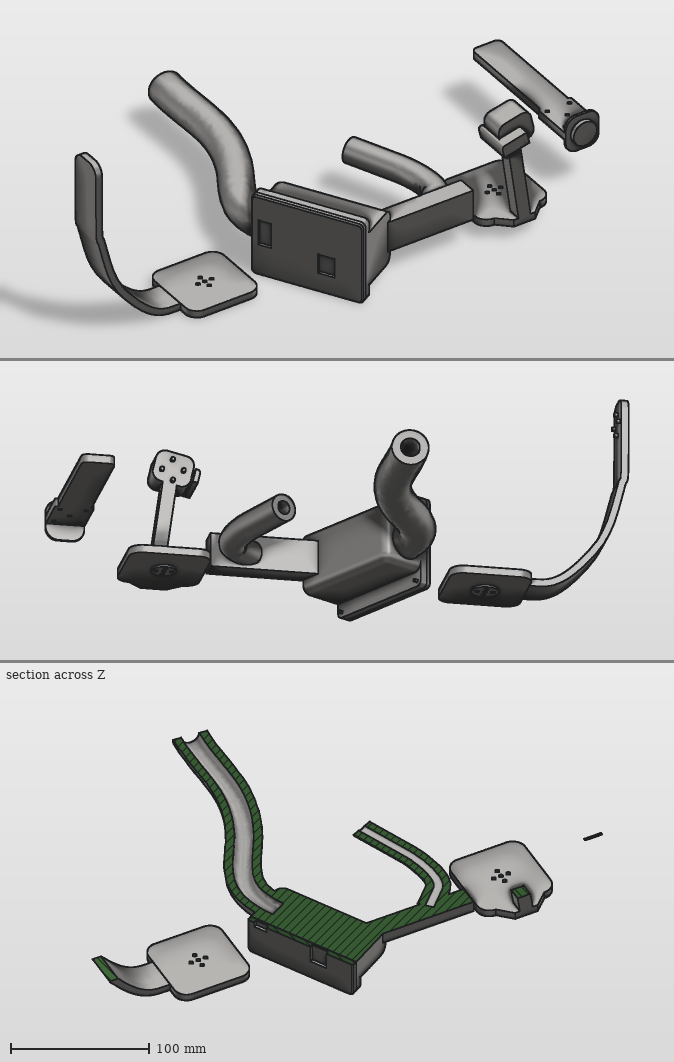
import cadquery as cq
import math

HOLE_DIAMETER = 3.0
PIN_DIAMETER = 3.0
PIN_LENGTH = 2.5
PIN_PITCH_RADIUS = 8.0
PAD_THICKNESS = 6.0
PAD_SIDE = 60.0
PAD_CORNER_RADIUS = 10.0
PAD_HOLE_SPACING = 6.0
PAD_BOSS_HEIGHT = 1.5

BLADE_CENTER_Y = 196.0
BLADE_CENTER_Z = -31.5
BLADE_THICKNESS = 6.5
BLADE_TIP_X = -36.0
BLADE_STEP_X = 54.0
BLADE_END_X = 89.0
BLADE_NARROW_WIDTH = 24.5
BLADE_WIDE_WIDTH = 28.5
BLADE_TIP_RADIUS = 4.5
BLADE_STEP_RADIUS = 2.0
BLADE_HOLE_X = 71.5
BLADE_HOLE_HALF_X = 11.8
BLADE_HOLE_HALF_Y = 9.5
END_PLATE_THICKNESS = 2.0
END_PLATE_HEIGHT = 30.3
END_PLATE_RADIUS = 9.2
BLADE_BOSS_DIAMETER = 20.0
BLADE_BOSS_HEIGHT = 3.8

FOOT_CENTER_X = 84.0
FOOT_CENTER_Y = 124.0
FOOT_TOP_Z = -59.5
FOOT_BOSS_DIAMETER = 18.0
TAB_END_X = 124.0
TAB_ROOT_HALF_WIDTH = 19.8
TAB_END_HALF_WIDTH = 9.2
POST_X = 113.5
POST_SIDE = 10.5
POST_LEAN = 8
HEAD_LENGTH = 19.5
HEAD_CENTER_Y = 112.0
HEAD_CENTER_Z = 23.5
HEAD_TILT = 13
HEAD_FRONT = -14.7
HEAD_BACK = 14.0
HEAD_BOTTOM = -10.5
HEAD_TOP = 14.0
HEAD_RADIUS = 7.0

CLIP_LENGTH = 31.0
CLIP_ARM_WIDTH = 9.2
CLIP_FRONT = -20.0
CLIP_STRIP_BACK = -16.5
CLIP_ARM_BACK = 2.0
CLIP_BOTTOM = -3.8
CLIP_TOP = 6.5
CLIP_RADIUS = 2.5

STRAP_CENTER_X = 53.5
STRAP_PAD_CENTER_Y = -106.8
STRAP_PAD_TOP_Z = -69.8
STRAP_BOSS_DIAMETER = 20.0
ARM_WIDTH = 27.5
ARM_THICKNESS = 5.5
ARM_TIP_Z = 77.0
ARM_OUTER_Y = -210.0
ARM_TIP_RADIUS = 9.2
ARM_ROOT_Z = -72.7
ARM_BEND_POINTS = [(-152.0, -71.5), (-178.2, -51.5), (-197.0, -20.5), (-205.5, 10.5)]
ARM_BEND_END_Z = 38.0
ARM_PIN_Z = 59.5

CASE_ANGLE = 30
CASE_ORIGIN = (56.5, -66.0)
CASE_CENTER_Z = -42.5
CASE_LEFT = -2.5
CASE_RIGHT = 88.3
LID_THICKNESS = 4.0
LID_CHAMFER = 1.3
FLANGE_THICKNESS = 6.0
FLANGE_HEIGHT = 69.5
FLANGE_RADIUS = 4.0
BOX_BACK = 43.7
BOX_HEIGHT = 46.2
BOX_RADIUS = 6.7
PEG_DIAMETER = 2.15
PEG_PROTRUSION = 2.5
PEG_INSET = 4.0
WINDOW_LEFT = 51.5
WINDOW_WIDTH = 13.5
WINDOW_HEIGHT = 16.5
WINDOW_DEPTH = 2.5
WINDOW_CENTER_Z = -52.0
SLOT_LEFT = 3.5
SLOT_WIDTH = 10.5
SLOT_HEIGHT = 21.5
SLOT_DEPTH = 2.5
SLOT_CENTER_Z = -39.5

BAR_LEFT_X = 96.5
BAR_WIDTH = 16.0
BAR_TOP_Y = 87.0
BAR_ROOT_Y = 11.0
BAR_HEIGHT = 25.5
HOOK_DIAMETER = 20.0
HOOK_BORE = 10.0
HOOK_START = (5.0, 51.3)
HOOK_BEND_START = (44.5, 68.0)
HOOK_BEND_END = (88.0, 70.5)
HOOK_END = (101.7, 56.7)
TUBE_DIAMETER = 27.0
TUBE_BORE = 14.0
TUBE_CENTER_Z = -46.5
TUBE_END_SLOPE = 0.1
TUBE_POINTS = [
    (-140.5, -13.0), (-105.0, -13.5), (-73.0, -14.0), (-25.0, -29.0), (3.0, -44.5), (27.5, -50.5), (54.0, -42.0),
]


def diamond(radius):
    return [(radius, 0), (-radius, 0), (0, radius), (0, -radius)]


def rectangle_corners(half_x, half_y):
    return [(half_x, half_y), (-half_x, half_y), (-half_x, -half_y), (half_x, -half_y)]


def direction(start, end):
    return (end[0] - start[0], end[1] - start[1])


def pad_with_boss(center_x, center_y, top_z, boss_diameter):
    """Square plate with a round boss underneath and a cross of five holes through both."""
    plate = (
        cq.Workplane("XY", origin=(center_x, center_y, top_z))
        .rect(PAD_SIDE, PAD_SIDE)
        .extrude(-PAD_THICKNESS)
        .edges("|Z")
        .fillet(PAD_CORNER_RADIUS)
    )
    boss = (
        cq.Workplane("XY", origin=(center_x, center_y, top_z - PAD_THICKNESS))
        .circle(boss_diameter / 2)
        .extrude(-PAD_BOSS_HEIGHT)
    )
    holes = (
        cq.Workplane("XY", origin=(center_x, center_y, top_z))
        .pushPoints([(0, 0)] + diamond(PAD_HOLE_SPACING))
        .circle(HOLE_DIAMETER / 2)
        .extrude(-PAD_THICKNESS - PAD_BOSS_HEIGHT)
    )
    return plate.union(boss).cut(holes)


def make_blade():
    bottom = BLADE_CENTER_Z - BLADE_THICKNESS / 2
    base = cq.Workplane("XY", origin=(0, BLADE_CENTER_Y, bottom))
    narrow = (
        base.center((BLADE_TIP_X + BLADE_END_X) / 2, 0)
        .rect(BLADE_END_X - BLADE_TIP_X, BLADE_NARROW_WIDTH)
        .extrude(BLADE_THICKNESS)
        .edges("|Z and <X")
        .fillet(BLADE_TIP_RADIUS)
    )
    wide = (
        base.center((BLADE_STEP_X + BLADE_END_X) / 2, 0)
        .rect(BLADE_END_X - BLADE_STEP_X, BLADE_WIDE_WIDTH)
        .extrude(BLADE_THICKNESS)
        .edges("|Z and <X")
        .fillet(BLADE_STEP_RADIUS)
    )
    end_plate = (
        cq.Workplane("YZ", origin=(BLADE_END_X, BLADE_CENTER_Y, BLADE_CENTER_Z))
        .rect(BLADE_WIDE_WIDTH, END_PLATE_HEIGHT)
        .extrude(END_PLATE_THICKNESS)
        .edges("|X")
        .fillet(END_PLATE_RADIUS)
    )
    boss = (
        cq.Workplane("YZ", origin=(BLADE_END_X + END_PLATE_THICKNESS, BLADE_CENTER_Y, BLADE_CENTER_Z))
        .circle(BLADE_BOSS_DIAMETER / 2)
        .extrude(BLADE_BOSS_HEIGHT)
    )
    holes = (
        base.center(BLADE_HOLE_X, 0)
        .pushPoints([(0, 0)] + rectangle_corners(BLADE_HOLE_HALF_X, BLADE_HOLE_HALF_Y))
        .circle(HOLE_DIAMETER / 2)
        .extrude(BLADE_THICKNESS)
    )
    return narrow.union(wide).union(end_plate).union(boss).cut(holes)


def make_foot_tab():
    """Tapered tab beside the pad that carries the post, rooted inside the pad clear of its holes."""
    pad_edge_x = FOOT_CENTER_X + PAD_SIDE / 2
    inner_x = pad_edge_x - PAD_CORNER_RADIUS
    return (
        cq.Workplane("XY", origin=(0, FOOT_CENTER_Y, FOOT_TOP_Z - PAD_THICKNESS))
        .moveTo(inner_x, TAB_ROOT_HALF_WIDTH)
        .lineTo(pad_edge_x, TAB_ROOT_HALF_WIDTH)
        .lineTo(TAB_END_X, TAB_END_HALF_WIDTH)
        .lineTo(TAB_END_X, -TAB_END_HALF_WIDTH)
        .lineTo(pad_edge_x, -TAB_ROOT_HALF_WIDTH)
        .lineTo(inner_x, -TAB_ROOT_HALF_WIDTH)
        .close()
        .extrude(PAD_THICKNESS)
    )


def make_post():
    rise = HEAD_CENTER_Z - FOOT_TOP_Z
    lean = rise * math.tan(math.radians(POST_LEAN))
    half = POST_SIDE / 2
    return (
        cq.Workplane("YZ", origin=(POST_X, FOOT_CENTER_Y, FOOT_TOP_Z))
        .polyline([(-half, 0), (half, 0), (half - lean, rise), (-half - lean, rise)])
        .close()
        .extrude(POST_SIDE)
    )


def tilted_block(start_x, length, front, back, bottom, top):
    """Block along X, its section given in the tilted axes of the head."""
    tilt = math.radians(HEAD_TILT)
    plane = cq.Plane(
        origin=(start_x, HEAD_CENTER_Y, HEAD_CENTER_Z),
        xDir=(0, math.cos(tilt), math.sin(tilt)),
        normal=(1, 0, 0),
    )
    section = cq.Workplane(plane).center((front + back) / 2, (bottom + top) / 2)
    return section.rect(back - front, top - bottom).extrude(length)


def make_head():
    block = tilted_block(POST_X, HEAD_LENGTH, HEAD_FRONT, HEAD_BACK, HEAD_BOTTOM, HEAD_TOP)
    block = block.edges("|X").fillet(HEAD_RADIUS)
    pins = (
        cq.Workplane("YZ", origin=(POST_X, HEAD_CENTER_Y, HEAD_CENTER_Z))
        .pushPoints(diamond(PIN_PITCH_RADIUS))
        .circle(PIN_DIAMETER / 2)
        .extrude(-PIN_LENGTH)
    )
    return block.union(pins)


def make_foot():
    body = pad_with_boss(FOOT_CENTER_X, FOOT_CENTER_Y, FOOT_TOP_Z, FOOT_BOSS_DIAMETER)
    return body.union(make_foot_tab()).union(make_post()).union(make_head())


def make_clip():
    """L-shaped clip: a strip in front of the head and an arm beside it, clear of the head."""
    arm_x = POST_X + CLIP_LENGTH - CLIP_ARM_WIDTH
    strip = tilted_block(POST_X, CLIP_LENGTH, CLIP_FRONT, CLIP_STRIP_BACK, CLIP_BOTTOM, CLIP_TOP)
    arm = tilted_block(arm_x, CLIP_ARM_WIDTH, CLIP_FRONT, CLIP_ARM_BACK, CLIP_BOTTOM, CLIP_TOP)
    return strip.union(arm).edges("|X and <Y").fillet(CLIP_RADIUS)


def make_strap_arm():
    center_y = ARM_OUTER_Y + ARM_THICKNESS / 2
    root_y = STRAP_PAD_CENTER_Y - PAD_SIDE / 2
    start_y = root_y + ARM_THICKNESS
    path = (
        cq.Workplane("YZ", origin=(STRAP_CENTER_X, 0, 0))
        .moveTo(start_y, ARM_ROOT_Z)
        .lineTo(root_y, ARM_ROOT_Z)
        .spline(ARM_BEND_POINTS + [(center_y, ARM_BEND_END_Z)], tangents=[(-1, 0), (0, 1)], includeCurrent=True)
        .lineTo(center_y, ARM_TIP_Z)
    )
    arm = (
        cq.Workplane("XZ", origin=(STRAP_CENTER_X, start_y, ARM_ROOT_Z))
        .rect(ARM_WIDTH, ARM_THICKNESS)
        .sweep(path)
        .edges("|Y and >Z")
        .fillet(ARM_TIP_RADIUS)
    )
    pins = (
        cq.Workplane("XZ", origin=(STRAP_CENTER_X, center_y, ARM_PIN_Z))
        .pushPoints(diamond(PIN_PITCH_RADIUS))
        .circle(PIN_DIAMETER / 2)
        .extrude(-ARM_THICKNESS / 2 - PIN_LENGTH)
    )
    return arm.union(pins)


def make_strap():
    body = pad_with_boss(STRAP_CENTER_X, STRAP_PAD_CENTER_Y, STRAP_PAD_TOP_Z, STRAP_BOSS_DIAMETER)
    return body.union(make_strap_arm())


def in_case_place(shape):
    """Moves a shape from the case's own axes to its turned place."""
    return shape.rotate((0, 0, 0), (0, 0, 1), CASE_ANGLE).translate((*CASE_ORIGIN, 0))


def case_block(front, back, height):
    """Block over the full case width, between two depths measured back from the lid face."""
    return (
        cq.Workplane("XZ", origin=((CASE_LEFT + CASE_RIGHT) / 2, front, CASE_CENTER_Z))
        .rect(CASE_RIGHT - CASE_LEFT, height)
        .extrude(front - back)
    )


def make_pegs(back):
    """Four corner pegs from the back of the lid to the given depth."""
    return (
        cq.Workplane("XZ", origin=((CASE_LEFT + CASE_RIGHT) / 2, LID_THICKNESS, CASE_CENTER_Z))
        .rect(CASE_RIGHT - CASE_LEFT - 2 * PEG_INSET, FLANGE_HEIGHT - 2 * PEG_INSET, forConstruction=True)
        .vertices()
        .circle(PEG_DIAMETER / 2)
        .extrude(LID_THICKNESS - back)
    )


def make_lid():
    plate = case_block(0, LID_THICKNESS, FLANGE_HEIGHT).edges("|Y").fillet(FLANGE_RADIUS)
    plate = plate.faces("<Y").edges().chamfer(LID_CHAMFER)
    window = cq.Workplane("XY").box(
        WINDOW_WIDTH, WINDOW_DEPTH, WINDOW_HEIGHT, centered=(False, False, True)
    ).translate((WINDOW_LEFT, 0, WINDOW_CENTER_Z))
    slot = cq.Workplane("XY").box(
        SLOT_WIDTH, SLOT_DEPTH, SLOT_HEIGHT, centered=(False, False, True)
    ).translate((SLOT_LEFT, 0, SLOT_CENTER_Z))
    pegs = make_pegs(LID_THICKNESS + FLANGE_THICKNESS + PEG_PROTRUSION)
    return in_case_place(plate.cut(window).cut(slot).union(pegs))


def make_case():
    flange_back = LID_THICKNESS + FLANGE_THICKNESS
    flange = case_block(LID_THICKNESS, flange_back, FLANGE_HEIGHT).edges("|Y").fillet(FLANGE_RADIUS)
    box = case_block(LID_THICKNESS, BOX_BACK, BOX_HEIGHT)
    box = box.edges("(<X and (not <Y)) or (>Y and |X)").fillet(BOX_RADIUS)
    return in_case_place(flange.union(box).cut(make_pegs(flange_back)))


def make_bar():
    """Bar running into the box, its hidden end cut parallel to the back of the case."""
    slope = math.tan(math.radians(CASE_ANGLE))
    right_x = BAR_LEFT_X + BAR_WIDTH
    return (
        cq.Workplane("XY", origin=(0, 0, CASE_CENTER_Z - BAR_HEIGHT / 2))
        .moveTo(BAR_LEFT_X, BAR_TOP_Y)
        .lineTo(right_x, BAR_TOP_Y)
        .lineTo(right_x, BAR_ROOT_Y)
        .lineTo(BAR_LEFT_X, BAR_ROOT_Y - BAR_WIDTH * slope)
        .close()
        .extrude(BAR_HEIGHT)
    )


def sweep_round(path, start, tangent, center_z, diameter):
    plane = cq.Plane(origin=(*start, center_z), xDir=(0, 0, 1), normal=(*tangent, 0))
    return cq.Workplane(plane).circle(diameter / 2).sweep(path)


def make_hook(diameter):
    """Rod along the hook: a straight end, a bend and a straight root inside the bar."""
    entry = direction(HOOK_START, HOOK_BEND_START)
    leave = direction(HOOK_BEND_END, HOOK_END)
    path = (
        cq.Workplane("XY", origin=(0, 0, CASE_CENTER_Z))
        .moveTo(*HOOK_START)
        .lineTo(*HOOK_BEND_START)
        .spline([HOOK_BEND_END], tangents=[entry, leave], includeCurrent=True)
        .lineTo(*HOOK_END)
    )
    return sweep_round(path, HOOK_START, entry, CASE_CENTER_Z, diameter)


def make_tube(diameter):
    """Rod along the S-shaped tube, its last stretch inside the box."""
    entry = (1, -TUBE_END_SLOPE)
    leave = (math.cos(math.radians(CASE_ANGLE)), math.sin(math.radians(CASE_ANGLE)))
    path = cq.Workplane("XY", origin=(0, 0, TUBE_CENTER_Z)).spline(TUBE_POINTS, tangents=[entry, leave])
    return sweep_round(path, TUBE_POINTS[0], entry, TUBE_CENTER_Z, diameter)


def make_housing():
    body = make_case().union(make_bar())
    body = body.union(make_hook(HOOK_DIAMETER)).union(make_tube(TUBE_DIAMETER))
    return body.cut(make_hook(HOOK_BORE)).cut(make_tube(TUBE_BORE))


blade = make_blade()
foot = make_foot()
clip = make_clip()
strap = make_strap()
housing = make_housing()
lid = make_lid()

result = cq.Compound.makeCompound([
    blade.solids().val(),
    foot.solids().val(),
    clip.solids().val(),
    strap.solids().val(),
    housing.solids().val(),
    lid.solids().val(),
])